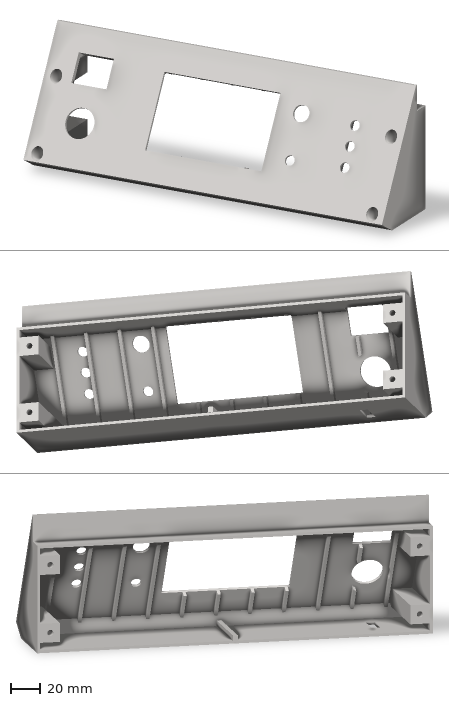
import cadquery as cq
import math


width = 280.0
back = 64.0
height = 95.0
ceiling_height = 76.0
front_edge_height = 8.7
tilt = 30.0
wall = 2.0

rib_pitch = 24.0
rib_width = 2.2
rib_depth = 4.2
ribs_per_side = 5

keel_width = 3.5
keel_top = 6.0
keel_bottom = 1.7
keel_overhang = 0.8

slot_x = -104.2
slot_width = 6.2
slot_front = 27.0
slot_back = 44.8

screw_x = 130.8
screw_heights = (14.0, 62.0)
screw_hole = 4.2
screw_head = 9.0
head_depth = 14.0
post_half = 6.7

opening_depth = 14.0
connector_x = -104.5
connector_z = 36.5
connector_clearance = 30.8
round_openings = (
    (connector_x, connector_z, 22.0),
    (59.5, 66.0, 12.3),
    (59.5, 37.0, 7.3),
    (101.5, 38.5, 7.3),
    (101.5, 51.8, 7.3),
    (101.5, 64.7, 7.3),
)
rectangular_openings = (
    (-104.5, 69.0, 27.5, 21.8),
    (-5.3, 51.8, 90.7, 56.0),
)

tan_tilt = math.tan(math.radians(tilt))
bottom_front = front_edge_height / tan_tilt
panel_top = (height - front_edge_height) * tan_tilt
lip_back = panel_top + wall


def panel_y(z):
    """Y of the outer panel surface at height z."""
    return (z - front_edge_height) * tan_tilt


def side_profile(points):
    return cq.Workplane("YZ").polyline(points).close()


def across(profile, span, center=0.0):
    """Extrude a side profile over a span in X."""
    return profile.extrude(span / 2, both=True).translate((center, 0, 0))


def on_panel(x, z):
    """Workplane on the outer panel surface, facing outward, its local Y up the slope."""
    normal = (0, -math.cos(math.radians(tilt)), math.sin(math.radians(tilt)))
    return cq.Workplane(cq.Plane(origin=(x, panel_y(z), z), xDir=(1, 0, 0), normal=normal))


def box(x_range, y_range, z_range):
    lows, highs = zip(x_range, y_range, z_range)
    size = [high - low for low, high in zip(lows, highs)]
    return cq.Workplane("XY").box(*size, centered=False).translate(lows)


outline = [
    (0, front_edge_height),
    (bottom_front, 0),
    (back, 0),
    (back, ceiling_height),
    (lip_back, ceiling_height),
    (lip_back, height),
    (panel_top, height),
]
housing = across(side_profile(outline), width)

cavity_outline = [
    (0, front_edge_height),
    (bottom_front, 0),
    (back + 2 * wall, 0),
    (back + 2 * wall, ceiling_height),
    (panel_y(ceiling_height), ceiling_height),
]
cavity = across(side_profile(cavity_outline).offset2D(-wall), width - 2 * wall)
body = housing.cut(cavity)

rib_offset = (wall + rib_depth) / math.cos(math.radians(tilt))
rib_band = [
    (panel_y(0), 0),
    (panel_y(0) + rib_offset, 0),
    (panel_y(ceiling_height) + rib_offset, ceiling_height),
    (panel_y(ceiling_height), ceiling_height),
]
for index in range(-ribs_per_side, ribs_per_side + 1):
    rib = across(side_profile(rib_band), rib_width, index * rib_pitch)
    body = body.union(rib.intersect(housing))

for side in (-1, 1):
    x_range = sorted((side * (screw_x - post_half), side * width / 2))
    for z in screw_heights:
        post = box(x_range, (0, back), (z - post_half, z + post_half))
        body = body.union(post.intersect(housing))

keel = box(
    (-keel_width / 2, keel_width / 2),
    (bottom_front, back + keel_overhang),
    (keel_bottom, keel_top),
)
body = body.union(keel)

for x, z, diameter in round_openings:
    body = body.cut(on_panel(x, z).circle(diameter / 2).extrude(-opening_depth))
for x, z, opening_width, length in rectangular_openings:
    body = body.cut(on_panel(x, z).rect(opening_width, length).extrude(-opening_depth))

clearance = (
    on_panel(connector_x, connector_z)
    .workplane(offset=-wall)
    .circle(connector_clearance / 2)
    .extrude(wall - opening_depth)
)
body = body.cut(clearance)

for side in (-1, 1):
    for z in screw_heights:
        front = cq.Workplane("XZ").center(side * screw_x, z)
        body = body.cut(front.circle(screw_hole / 2).extrude(-back))
        body = body.cut(front.circle(screw_head / 2).extrude(-(panel_y(z) + head_depth)))

slot = box(
    (slot_x - slot_width / 2, slot_x + slot_width / 2),
    (slot_front, slot_back),
    (0, wall),
)
result = body.cut(slot)